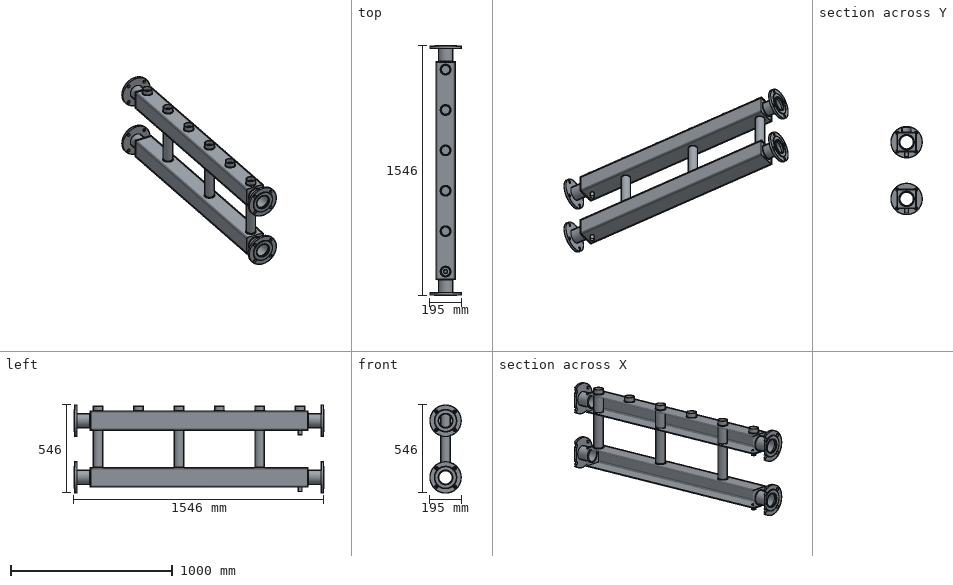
import cadquery as cq

header_side = 120.0
header_length = 1348.0
header_wall = 5.0
header_corner_radius = 8.0
header_spacing = 351.0
upper_z = header_spacing / 2
lower_z = -header_spacing / 2

overall_length = 1546.0
pipe_diameter = 90.0
pipe_bore = 82.0
flange_diameter = 195.0
flange_thickness = 19.0
flange_bore = 91.0
pipe_setback = 5.0
raised_face_diameter = 133.0
raised_face_height = 3.0
bolt_hole_diameter = 19.0
bolt_circle_diameter = 160.0
bolt_count = 4
first_bolt_angle = 45

outlet_diameter = 60.0
outlet_bore = 53.0
outlet_height = 30.0
outlet_span = 1249.0
outlet_count = 6
riser_step = 2

weld_leg = 3.0
bevel_angle = 45

drain_diameter = 26.0
drain_bore = 22.0
drain_length = 28.0

half_side = header_side / 2
upper_top = upper_z + half_side
lower_top = lower_z + half_side
cavity_end_y = header_length / 2 - header_wall
flange_outer_y = overall_length / 2
pipe_end_y = flange_outer_y - pipe_setback
outlet_top_z = upper_top + outlet_height
outlet_pitch = outlet_span / (outlet_count - 1)
outlet_ys = [outlet_span / 2 - i * outlet_pitch for i in range(outlet_count)]
riser_ys = outlet_ys[::riser_step]
plain_outlet_ys = outlet_ys[1::riser_step]
drain_y = outlet_ys[-1]


def cylinder_z(diameter, y, z_bottom, z_top):
    """Upright cylinder on the X = 0 plane."""
    return cq.Workplane("XY", origin=(0, y, z_bottom)).circle(diameter / 2).extrude(z_top - z_bottom)


def cylinder_y(diameter, z, y_start, y_end):
    """Cylinder along Y at height z."""
    return cq.Workplane("XZ", origin=(0, y_start, z)).circle(diameter / 2).extrude(y_start - y_end)


def bevelled_disc_y(tip_diameter, height, y, z):
    """Bevelled disc that starts at y and narrows toward +Y to the tip diameter."""
    disc = cq.Workplane("XZ").circle(tip_diameter / 2 + height).extrude(height, taper=bevel_angle)
    return disc.mirror("XZ").translate((0, y, z))


def outlet_weld(y, z):
    """Weld bead around an upright outlet pipe that leaves a header top at height z."""
    bead = cq.Workplane("XY").circle(outlet_diameter / 2 + weld_leg).extrude(weld_leg, taper=bevel_angle)
    return bead.translate((0, y, z))


def header(z):
    """Square tube with rounded long edges and closed ends."""
    outside = cq.Workplane("XY").box(header_side, header_length, header_side)
    outside = outside.edges("|Y").fillet(header_corner_radius)
    inner_side = header_side - 2 * header_wall
    cavity = cq.Workplane("XY").box(inner_side, header_length - 2 * header_wall, inner_side)
    cavity = cavity.edges("|Y").fillet(header_corner_radius - header_wall)
    return outside.cut(cavity).translate((0, 0, z))


def flanged_end(z):
    """Pipe and bolted flange on the +Y end of a header, still without the pipe bore."""
    rim_y = flange_outer_y - raised_face_height
    flange = cylinder_y(flange_diameter, z, flange_outer_y - flange_thickness, rim_y)
    flange = flange.union(bevelled_disc_y(raised_face_diameter, raised_face_height, rim_y, z))
    bolt_holes = (
        cq.Workplane("XZ", origin=(0, flange_outer_y, z))
        .polarArray(bolt_circle_diameter / 2, first_bolt_angle, 360, bolt_count)
        .circle(bolt_hole_diameter / 2)
        .extrude(flange_thickness)
    )
    flange = flange.cut(bolt_holes)
    flange = flange.cut(cylinder_y(flange_bore, z, pipe_end_y, flange_outer_y))
    pipe = cylinder_y(pipe_diameter, z, cavity_end_y, pipe_end_y)
    return flange.union(pipe).union(bevelled_disc_y(pipe_diameter, weld_leg, header_length / 2, z))


def add_outlet(solid, y, bottom_z):
    """Join an open pipe that runs from bottom_z up through the top of the upper header."""
    solid = solid.union(cylinder_z(outlet_diameter, y, bottom_z, outlet_top_z))
    solid = solid.union(outlet_weld(y, upper_top))
    return solid.cut(cylinder_z(outlet_bore, y, bottom_z, outlet_top_z))


body = header(upper_z).union(header(lower_z))

for z in (upper_z, lower_z):
    end = flanged_end(z)
    body = body.union(end).union(end.mirror("XZ"))
    for side in (1, -1):
        body = body.cut(cylinder_y(pipe_bore, z, side * cavity_end_y, side * pipe_end_y))

    drain_bottom = z - half_side - drain_length
    drain_top = z - half_side + header_wall
    body = body.union(cylinder_z(drain_diameter, drain_y, drain_bottom, drain_top))
    body = body.cut(cylinder_z(drain_bore, drain_y, drain_bottom, drain_top))

for y in plain_outlet_ys:
    body = add_outlet(body, y, upper_top - header_wall)
for y in riser_ys:
    body = add_outlet(body, y, lower_top - header_wall)
    body = body.union(outlet_weld(y, lower_top))

result = body